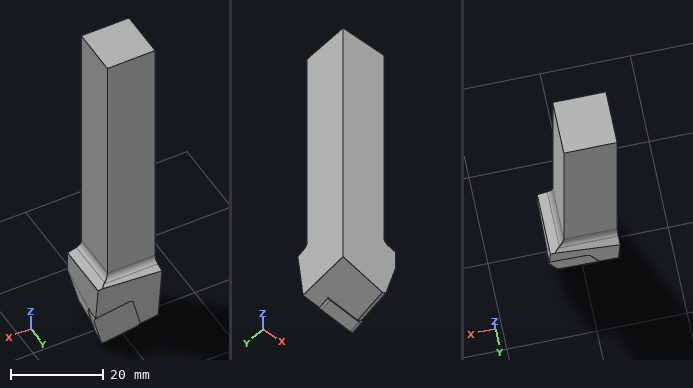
import cadquery as cq
import math

total_height = 81.35
shank_size = 11.9

head_right = 15.3
shoulder_edge_height = 18.2
shoulder_angle = math.radians(15)
shoulder_radius = 1.6
head_back = 15.0

insert_size = 9.5
insert_thickness = 3.2
insert_corner_radius = 0.8
tip_x = 13.3
tip_z = -0.18
lead_angle = math.radians(15)
rake_angle = math.radians(5.6)

insert_overhang = 0.285
tip_chamfer = 0.9
stock = 2 * total_height

rake = math.tan(rake_angle)
lead_cos = math.cos(lead_angle)
lead_sin = math.sin(lead_angle)
back_slope_x = rake * (lead_cos - lead_sin)
back_slope_z = rake * (lead_cos + lead_sin)
tip_y = head_back - back_slope_x * tip_x - back_slope_z * (shoulder_edge_height - tip_z)

back_plane = cq.Plane(
    origin=(tip_x, tip_y, tip_z),
    xDir=(lead_cos, -rake, -lead_sin),
    normal=(-back_slope_x, -1, back_slope_z),
)


def shouldered_profile(plane, head_width, length):
    """Extruded outline of a narrow shank over a wider head with a sloped, rounded shoulder."""
    slope = math.tan(shoulder_angle)
    inner_height = shoulder_edge_height + (head_width - shank_size) * slope
    bend = math.pi / 2 - shoulder_angle
    tangent = shoulder_radius * math.tan(bend / 2)
    arc_center_x = shank_size + shoulder_radius
    arc_center_z = inner_height + tangent
    arc_middle = (
        arc_center_x - shoulder_radius * math.cos(bend / 2),
        arc_center_z - shoulder_radius * math.sin(bend / 2),
    )
    arc_end = (
        shank_size + tangent * math.cos(shoulder_angle),
        inner_height - tangent * math.sin(shoulder_angle),
    )
    return (
        cq.Workplane(plane)
        .moveTo(0, tip_z)
        .lineTo(0, total_height)
        .lineTo(shank_size, total_height)
        .lineTo(shank_size, arc_center_z)
        .threePointArc(arc_middle, arc_end)
        .lineTo(head_width, shoulder_edge_height)
        .lineTo(head_width, tip_z)
        .close()
        .extrude(length)
    )


def make_insert():
    return (
        cq.Workplane(back_plane)
        .rect(-insert_size, insert_size, centered=False)
        .extrude(insert_thickness)
        .edges(cq.selectors.ParallelDirSelector(back_plane.zDir))
        .fillet(insert_corner_radius)
    )


def cutting_end_envelope():
    """Space bounded by the back face, the relieved bottom and side faces and the tip chamfer."""
    side = -insert_overhang
    bottom = insert_overhang
    return (
        cq.Workplane(back_plane)
        .moveTo(-stock, bottom)
        .lineTo(side - tip_chamfer, bottom)
        .lineTo(side, bottom + tip_chamfer)
        .lineTo(side, stock)
        .lineTo(-stock, stock)
        .close()
        .extrude(stock)
    )


def make_holder(insert):
    front_outline = shouldered_profile(cq.Plane.XZ(), head_right, -head_back)
    side_outline = shouldered_profile(cq.Plane.YZ(), head_back, head_right)
    return front_outline.intersect(side_outline).intersect(cutting_end_envelope()).cut(insert)


cutting_insert = make_insert()
holder = make_holder(cutting_insert)
result = cq.Compound.makeCompound([holder.val(), cutting_insert.val()])